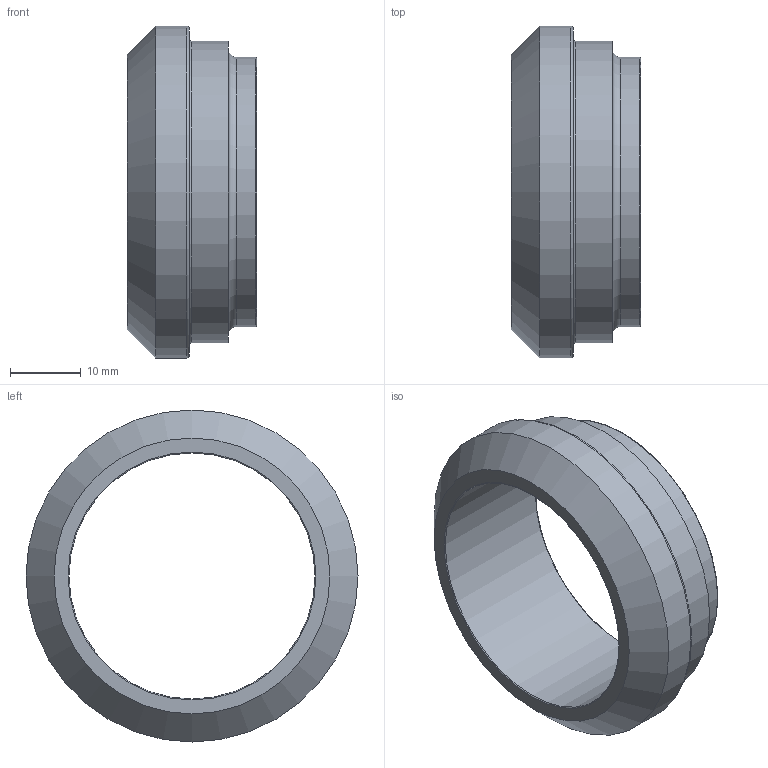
import cadquery as cq
import math

total_length = 18.26
bore_diameter = 34.8
flange_diameter = 46.94
step_diameter = 42.62
neck_diameter = 38.1

nose_length = 3.97
nose_angle = 45.0
flange_length = 8.76
rim_edge_radius = 0.38

step_root_radius = 0.3
step_end = 14.28
neck_fillet_radius = 1.19

edge_radius = 0.127


def arc_midpoint(center, radius, start_angle, end_angle):
    """Point halfway along a circular arc, angles in degrees."""
    angle = math.radians((start_angle + end_angle) / 2)
    return (center[0] + radius * math.cos(angle), center[1] + radius * math.sin(angle))


def outer_body():
    """Solid body of revolution, drawn as (distance from nose face, radius)."""
    flange_radius = flange_diameter / 2
    step_radius = step_diameter / 2
    neck_radius = neck_diameter / 2
    nose_radius = flange_radius - nose_length * math.tan(math.radians(nose_angle))

    rim_center = (flange_length - rim_edge_radius, flange_radius - rim_edge_radius)
    root_center = (flange_length + step_root_radius, step_radius + step_root_radius)

    neck_center = (step_end + neck_fillet_radius, neck_radius + neck_fillet_radius)
    neck_edge_center = (total_length - edge_radius, neck_radius - edge_radius)

    return (
        cq.Workplane("XY")
        .moveTo(0, 0)
        .lineTo(0, nose_radius)
        .lineTo(nose_length, flange_radius)
        .lineTo(rim_center[0], flange_radius)
        .threePointArc(
            arc_midpoint(rim_center, rim_edge_radius, 90, 0),
            (flange_length, rim_center[1]),
        )
        .lineTo(flange_length, root_center[1])
        .threePointArc(
            arc_midpoint(root_center, step_root_radius, 180, 270),
            (root_center[0], step_radius),
        )
        .lineTo(step_end, step_radius)
        .lineTo(step_end, neck_center[1])
        .threePointArc(
            arc_midpoint(neck_center, neck_fillet_radius, 180, 270),
            (neck_center[0], neck_radius),
        )
        .lineTo(neck_edge_center[0], neck_radius)
        .threePointArc(
            arc_midpoint(neck_edge_center, edge_radius, 90, 0),
            (total_length, neck_edge_center[1]),
        )
        .lineTo(total_length, 0)
        .close()
        .revolve(360, (0, 0, 0), (1, 0, 0))
    )


def bore_cutter():
    """Through bore, flared by a small rounded edge at both ends."""
    bore_radius = bore_diameter / 2
    mouth_radius = bore_radius + edge_radius
    front_center = (edge_radius, mouth_radius)
    back_center = (total_length - edge_radius, mouth_radius)
    return (
        cq.Workplane("XY")
        .moveTo(0, 0)
        .lineTo(0, mouth_radius)
        .threePointArc(
            arc_midpoint(front_center, edge_radius, 180, 270),
            (front_center[0], bore_radius),
        )
        .lineTo(back_center[0], bore_radius)
        .threePointArc(
            arc_midpoint(back_center, edge_radius, 270, 360),
            (total_length, mouth_radius),
        )
        .lineTo(total_length, 0)
        .close()
        .revolve(360, (0, 0, 0), (1, 0, 0))
    )


ring = outer_body().cut(bore_cutter())
result = ring.translate((-total_length / 2, 0, 0))